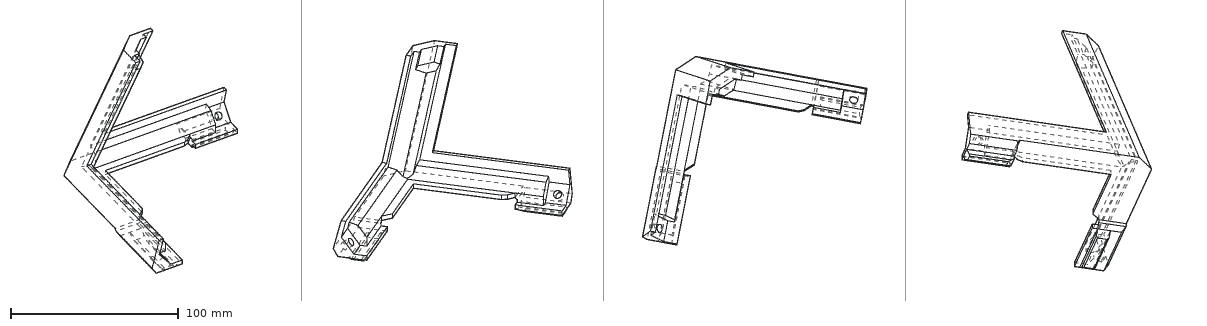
import cadquery as cq
import math


arm_length = 114.6
top_z = 111.1
lean = math.tan(math.radians(14.4))
crease_z = 8.8
corner_chamfer = 10.3
lip_thickness = 3.0
rabbet_drop = 6.6
reach = 229.1

column_width = 24.7
rib_depth = 3.4
rib_width = 3.9
pocket_depth = rib_width / lean
core_offset = 4.8

arm_bottom_z = 9.7
arm_top_z = 27.8
shelf_edge = 11.6
body_depth = 17.1
slope = math.tan(math.radians(52.2))
ledge_depth = 22.2

foot_bottom_z = 3.9
foot_top_z = 6.9
foot_depth = 21.0
foot_transition = 1.3
undercut_depth = 2.9

pocket_length = 13.0
pocket_slope_end = 13.0
hole_diameter = 4.8
hole_from_end = 6.4
hole_y = 9.3
hole_depth = 5.7

key_width = 7.9
key_chamfer = 0.9


def outer_face(z):
    """Depth of the leaning outer face at height z."""
    return lean * (z - crease_z)


def along_arm(section, start, end):
    """Extrude a (depth, height) section along X."""
    return cq.Workplane("YZ", origin=(start, 0, 0)).polyline(section).close().extrude(end - start)


def across_arm(outline, depth):
    """Extrude an (x, height) outline from y = 0 to the given depth."""
    return cq.Workplane("XZ").polyline(outline).close().extrude(-depth)


def leaning_prism(points, bottom, top):
    """Prism following the column; the points are measured from both outer faces."""
    shift = outer_face(bottom)
    rise = top - bottom
    corners = [cq.Vector(x + shift, y + shift, bottom) for x, y in points]
    base = cq.Wire.makePolygon(corners, close=True)
    solid = cq.Solid.extrudeLinear(base, [], cq.Vector(lean * rise, lean * rise, rise))
    return cq.Workplane(obj=solid)


def mirrored(points):
    """Complete a half outline with its reflection in the line x = y."""
    return points + [(y, x) for x, y in reversed(points)]


def make_beam():
    """Full-length arm section: lip, rabbet, shelf and inner slope."""
    rabbet_z = arm_top_z - rabbet_drop
    rabbet_y = outer_face(rabbet_z) + lip_thickness
    shelf_z = rabbet_z - lean * (shelf_edge - rabbet_y)
    ledge_z = shelf_z - slope * (body_depth - shelf_edge)
    section = [
        (outer_face(arm_bottom_z), arm_bottom_z),
        (outer_face(arm_top_z), arm_top_z),
        (outer_face(arm_top_z) + lip_thickness, arm_top_z),
        (rabbet_y, rabbet_z),
        (shelf_edge, shelf_z),
        (body_depth, ledge_z),
        (body_depth, arm_bottom_z),
    ]
    return along_arm(section, 0, arm_length), ledge_z


def make_ledge(ledge_z, end_points):
    """Flat ledge along the foot of the inner slope, ending before the foot."""
    outline = [(0, 0), (0, ledge_depth)] + end_points + [(end_points[-1][0], 0)]
    height = ledge_z - arm_bottom_z
    return cq.Workplane("XY", origin=(0, 0, arm_bottom_z)).polyline(outline).close().extrude(height)


def make_foot(foot_start):
    """Undercut foot block with an inner plate, reached through a 45 degree step."""
    section = [
        (outer_face(arm_bottom_z), arm_bottom_z),
        (0, crease_z),
        (undercut_depth, foot_bottom_z),
        (foot_depth, foot_bottom_z),
        (foot_depth, foot_top_z),
        (body_depth, foot_top_z),
        (body_depth, arm_bottom_z),
    ]
    step_start = foot_start - foot_transition
    step = [
        (step_start, arm_bottom_z),
        (foot_start, arm_bottom_z - foot_transition),
        (foot_start, 0),
        (step_start, 0),
    ]
    return along_arm(section, step_start, arm_length).cut(across_arm(step, foot_depth))


def make_end_pocket():
    """Space above the end of the arm, bounded by the lip and a slope down to the foot plate."""
    lip_base = lip_thickness - lean * crease_z
    meet_z = (foot_top_z + slope * (pocket_slope_end - lip_base)) / (1 + slope * lean)
    section = [
        (pocket_slope_end, foot_top_z),
        (outer_face(meet_z) + lip_thickness, meet_z),
        (outer_face(arm_top_z) + lip_thickness, arm_top_z),
        (ledge_depth, arm_top_z),
        (ledge_depth, foot_top_z),
    ]
    return along_arm(section, arm_length - pocket_length, arm_length)


def make_hole():
    """Blind hole square to the pocket slope."""
    hole_z = foot_top_z + slope * (pocket_slope_end - hole_y)
    mouth = cq.Vector(arm_length - hole_from_end, hole_y, hole_z)
    inward = cq.Vector(0, -slope, -1)
    return cq.Workplane(obj=cq.Solid.makeCylinder(hole_diameter / 2, hole_depth, mouth, inward))


def make_arm(foot_start, ledge_end, key_side, key_section):
    """Arm along X; the key is the common part of its side outline and its cross-section."""
    beam, ledge_z = make_beam()
    body = beam.union(make_ledge(ledge_z, ledge_end)).intersect(make_envelope())
    key = across_arm(key_side, foot_depth).intersect(along_arm(key_section, 0, arm_length))
    return body.union(make_foot(foot_start)).cut(make_end_pocket()).cut(make_hole()).union(key)


def make_x_arm():
    foot_start = 72.0
    ledge_straight = 65.8
    near_run = foot_bottom_z
    far_run = 6.4
    key_outer = 9.7
    key_inner = key_outer + key_width
    ledge_end = [(ledge_straight, ledge_depth), (foot_start - foot_transition, body_depth)]
    key_side = [
        (foot_start, foot_bottom_z),
        (foot_start + near_run, 0),
        (arm_length - far_run, 0),
        (arm_length, foot_bottom_z),
    ]
    key_section = [
        (key_outer, foot_bottom_z),
        (key_outer, key_chamfer),
        (key_outer + key_chamfer, 0),
        (key_inner - key_chamfer, 0),
        (key_inner, key_chamfer),
        (key_inner, foot_bottom_z),
    ]
    return make_arm(foot_start, ledge_end, key_side, key_section)


def make_y_arm():
    foot_start = 85.2
    ledge_straight = 77.0
    ledge_tip = foot_start - foot_transition
    ledge_kink = 3.7
    bevel_z = 2.1
    bevel_run = bevel_z * math.tan(math.radians(60))
    inner_bevel = 3.0
    far_run = 2.0
    key_outer = 9.3
    key_inner = key_outer + key_width
    ledge_end = [
        (ledge_straight, ledge_depth),
        (ledge_tip - ledge_kink, body_depth + ledge_kink),
        (ledge_tip, body_depth),
    ]
    key_side = [
        (foot_start, foot_bottom_z),
        (foot_start, bevel_z),
        (foot_start + bevel_run, 0),
        (arm_length - far_run, 0),
        (arm_length, foot_bottom_z),
    ]
    key_section = [
        (key_outer, foot_bottom_z),
        (key_outer, key_chamfer),
        (key_outer + key_chamfer, 0),
        (key_inner - inner_bevel, 0),
        (key_inner, bevel_z),
        (key_inner, foot_bottom_z),
    ]
    return make_arm(foot_start, ledge_end, key_side, key_section).mirror((1, -1, 0))


def make_column():
    """Leaning column: two panels, stepped ribs and a thicker core that stops below the top."""
    rib_edge = column_width - rabbet_drop
    rib_face = lip_thickness + rib_depth
    half_profile = [
        (0, corner_chamfer),
        (0, column_width),
        (lip_thickness, column_width),
        (lip_thickness, rib_edge),
        (rib_face, rib_edge),
        (rib_face, rib_edge - rib_width),
    ]
    shell = leaning_prism(mirrored(half_profile), arm_bottom_z, top_z)

    core_corner = (rib_edge - core_offset, rib_edge)
    half_core = [(0, corner_chamfer), (lip_thickness, rib_edge), core_corner]
    core = leaning_prism(mirrored(half_core), arm_bottom_z, top_z)
    core_top_z = top_z - pocket_depth
    shift = outer_face(core_top_z)
    top_point = (core_corner[0] + shift, core_corner[1] + shift, core_top_z)
    top_plane = cq.Plane(origin=top_point, normal=(lean, lean, 1))
    above = cq.Workplane(top_plane).rect(reach, reach).extrude(reach)
    return shell.union(core.cut(above))


def make_envelope():
    """Space inside the outer faces and the corner chamfer, from the arms' underside up."""
    outline = [(0, corner_chamfer), (0, reach), (reach, reach), (reach, 0), (corner_chamfer, 0)]
    return leaning_prism(outline, arm_bottom_z, top_z)


result = make_x_arm().union(make_y_arm()).union(make_column())